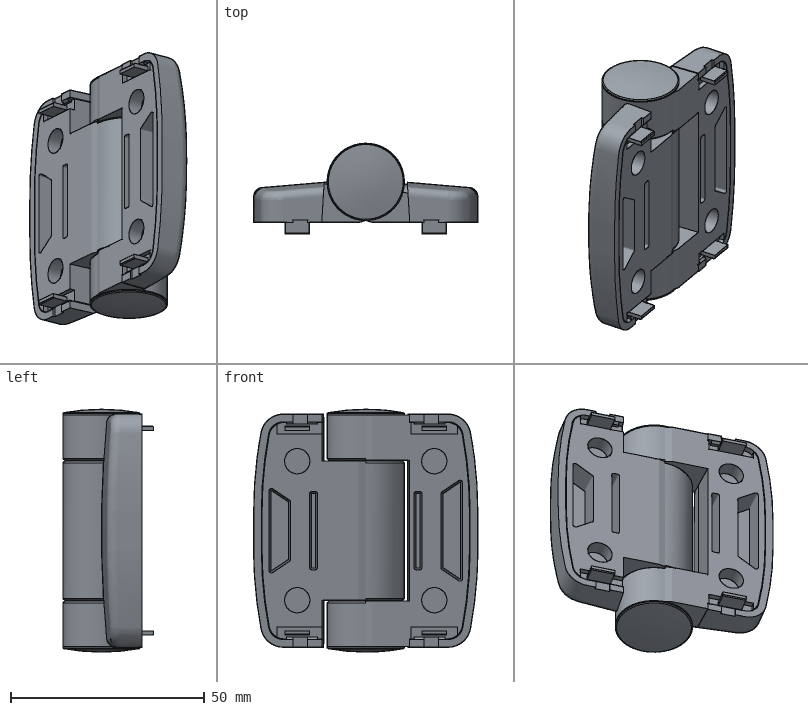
import cadquery as cq
import math


half_length = 31.4
half_width = 28.995
knuckle_radius = 10.0
mount_y = -10.5

cover_half_height = 30.15
corner_radius = 6.0
corner_center_x = 21.25
side_flat_half = 4.95
crown_y = 0.9
crown_tilt = 4.9
crown_radius = 301.6
rim_fillet = 2.45
wall = 2.0
cavity_depth = 7.0
seat_gap = 0.2

inner_x_mount = 11.4
inner_x_crown = 10.75

knuckle_end = 30.0
middle_half = 18.05
knuckle_gap = 0.1
knuckle_chamfer = 0.5
toe_x = 1.75
cap_rim_top = 30.3
cap_edge_top = 30.55
cap_crest_radius = 9.7

hole_radius = 3.25
hole_depth = 4.0
hole_x = 17.7
hole_z = 18.0
slot_depth = 6.05
slot_draft = 5.0
slot_inner_x = 12.5
slot_width = 2.0
slot_half_length = 10.1
slot_corner = 0.55
window_inner_x = 19.5
window_outer_x = 25.0
window_slant = 34.0
window_corner = 0.6
short_window_half = 7.7
long_window_half = 9.85

pocket_depth = 1.4
pocket_inner_z = 24.95
pocket_start_middle_leaf = 10.7
pocket_stop_middle_leaf = 23.0
pocket_start_end_leaf = 11.7
pocket_stop_end_leaf = 23.75
tab_inner_x = 14.6
tab_outer_x = 20.85
tab_low_z = 25.9
tab_thickness = 1.1
tab_reach = 3.0
tab_chamfer = 0.25
lip_inner_x = 12.5
lip_outer_x = 20.55
lip_reach = 0.6
notch_inner_x = 15.0
notch_outer_x = 18.85
notch_depth = 0.6

rim_inner_z = cover_half_height - wall
end_knuckle_start = middle_half + knuckle_gap
tall = 18.85


def box_between(x0, x1, y0, y1, z0, z1):
    """Box given by its limits along each axis."""
    return cq.Workplane("XY").box(x1 - x0, y1 - y0, z1 - z0, centered=False).translate((x0, y0, z0))


def mount_plane():
    """Sketch plane on the mounting face, facing +Y: local x is X and local y is -Z."""
    return cq.Workplane(cq.Plane(origin=(0, mount_y, 0), xDir=(1, 0, 0), normal=(0, 1, 0)))


def rounded_outline(inset):
    """Cover outline moved inwards by inset, from X = 0 to the bowed outer side."""
    across = half_width - corner_center_x
    along = cover_half_height - corner_radius - side_flat_half
    bow = (across**2 + along**2 - corner_radius**2) / (2 * (across - corner_radius))
    bow_center_x = half_width - bow
    bow_angle = math.atan2(along, corner_center_x - bow_center_x)
    corner_z = cover_half_height - corner_radius
    r_corner = corner_radius - inset
    r_bow = bow - inset
    mid_angle = (bow_angle + math.pi / 2) / 2

    def on_corner(angle):
        return corner_center_x + r_corner * math.cos(angle), corner_z + r_corner * math.sin(angle)

    def on_bow(angle):
        return bow_center_x + r_bow * math.cos(angle), side_flat_half + r_bow * math.sin(angle)

    def below(point):
        return point[0], -point[1]

    top = cover_half_height - inset
    return (
        mount_plane()
        .moveTo(0, top)
        .lineTo(corner_center_x, top)
        .threePointArc(on_corner(mid_angle), on_corner(bow_angle))
        .threePointArc(on_bow(bow_angle / 2), on_bow(0))
        .lineTo(*below(on_bow(0)))
        .threePointArc(below(on_bow(bow_angle / 2)), below(on_corner(bow_angle)))
        .threePointArc(below(on_corner(mid_angle)), (corner_center_x, -top))
        .lineTo(0, -top)
        .close()
    )


def crowned_blank():
    """Full outer form of one hinge half, from the pivot axis to the outer side."""
    edge_z = 1.2 * cover_half_height
    edge_y = crown_y - (crown_radius - math.sqrt(crown_radius**2 - edge_z**2))
    crown = (
        cq.Workplane("YZ", origin=(-tall, 0, 0))
        .moveTo(-2 * tall, -edge_z)
        .lineTo(edge_y, -edge_z)
        .threePointArc((crown_y, 0), (edge_y, edge_z))
        .lineTo(-2 * tall, edge_z)
        .close()
        .extrude(2 * tall + half_width)
        .rotate((0, crown_y, 0), (0, crown_y, 1), -crown_tilt)
    )
    blank = rounded_outline(0).extrude(tall).intersect(crown)
    return blank.faces(">Y").edges("not <X").fillet(rim_fillet)


def inside_of_draft():
    """Everything between the pivot axis and the drafted inner end of the cover."""
    draft = (inner_x_crown - inner_x_mount) / -mount_y
    return (
        cq.Workplane("XY", origin=(0, 0, -half_length))
        .polyline([
            (0, -tall),
            (inner_x_crown - draft * tall, -tall),
            (inner_x_crown + draft * tall, tall),
            (0, tall),
        ])
        .close()
        .extrude(2 * half_length)
    )


def cover_lip(side):
    """Wedge on the rim that reaches over the latch pocket."""
    z_tip = rim_inner_z - lip_reach
    return (
        cq.Workplane("YZ", origin=(lip_inner_x, 0, 0))
        .polyline([
            (mount_y, side * rim_inner_z),
            (mount_y + notch_depth, side * z_tip),
            (mount_y + pocket_depth, side * z_tip),
            (mount_y + pocket_depth, side * rim_inner_z),
        ])
        .close()
        .extrude(lip_outer_x - lip_inner_x)
    )


def make_cover():
    """Crowned shell that wraps the leaf plate, with lips and notches on its rim."""
    cavity = rounded_outline(wall).extrude(cavity_depth)
    cover = crowned_blank().cut(inside_of_draft()).cut(cavity)
    for side in (1, -1):
        cover = cover.union(cover_lip(side))
    notches = box_between(
        notch_inner_x, notch_outer_x, mount_y, mount_y + notch_depth, -half_length, half_length
    )
    return cover.cut(notches)


def knuckle(z0, z1, chamfered):
    """Pivot barrel between two heights; chamfered selects the ends to chamfer."""
    barrel = cq.Workplane("XY", origin=(0, 0, z0)).circle(knuckle_radius).extrude(z1 - z0)
    return barrel.faces(chamfered).edges().chamfer(knuckle_chamfer)


def arm(z0, z1):
    """Root between the leaf plate and its knuckle, with a sloped toe under the axis."""
    toe = (
        cq.Workplane("XY", origin=(0, 0, -half_length))
        .polyline([(0, mount_y), (toe_x, mount_y), (0, -knuckle_radius)])
        .close()
        .extrude(2 * half_length)
    )
    slab = box_between(0, inner_x_mount, -tall, tall, z0, z1)
    return crowned_blank().intersect(inside_of_draft()).intersect(slab).cut(toe)


def leaf_plate():
    """Plate that fills the cover's cavity."""
    plate = rounded_outline(wall + seat_gap).extrude(cavity_depth)
    return plate.cut(inside_of_draft())


def screw_holes():
    """Pair of blind holes in the mounting face."""
    return (
        mount_plane()
        .pushPoints([(hole_x, hole_z), (hole_x, -hole_z)])
        .circle(hole_radius)
        .extrude(hole_depth)
    )


def narrow_slot():
    """Long drafted slot next to the inner end."""
    outline = (
        cq.Sketch()
        .rect(slot_width, 2 * slot_half_length)
        .vertices()
        .fillet(slot_corner)
    )
    center_x = slot_inner_x + slot_width / 2
    return mount_plane().center(center_x, 0).placeSketch(outline).extrude(slot_depth, taper=slot_draft)


def window(inner_half):
    """Trapezoidal recess that grows longer towards the outer side."""
    slant_rise = (window_outer_x - window_inner_x) * math.tan(math.radians(window_slant))
    outer_half = inner_half + slant_rise
    corners = [
        (window_inner_x, -inner_half),
        (window_outer_x, -outer_half),
        (window_outer_x, outer_half),
        (window_inner_x, inner_half),
        (window_inner_x, -inner_half),
    ]
    outline = cq.Sketch().polygon(corners).vertices().fillet(window_corner)
    return mount_plane().placeSketch(outline).extrude(slot_depth, taper=slot_draft)


def latch_pocket(start_x, stop_x):
    """Shallow recess at the upper end of the plate, open towards the rim."""
    return box_between(start_x, stop_x, mount_y, mount_y + pocket_depth, pocket_inner_z, rim_inner_z)


def latch_tab():
    """Tongue that rises from the upper pocket and passes the mounting plane."""
    tab = box_between(
        tab_inner_x, tab_outer_x,
        mount_y - tab_reach, mount_y + pocket_depth,
        tab_low_z, tab_low_z + tab_thickness,
    )
    return tab.faces("<Y").edges(">Z").chamfer(tab_chamfer)


def make_leaf(window_half, pocket_start, pocket_stop, knuckles_and_arms):
    """Plate with its recesses, tabs and knuckles as one solid."""
    leaf = leaf_plate()
    for piece in knuckles_and_arms:
        leaf = leaf.union(piece)
    leaf = leaf.cut(screw_holes()).cut(narrow_slot()).cut(window(window_half))
    pocket = latch_pocket(pocket_start, pocket_stop)
    leaf = leaf.cut(pocket).cut(pocket.mirror("XY"))
    tab = latch_tab()
    return leaf.union(tab).union(tab.mirror("XY"))


def make_middle_leaf():
    """Leaf on the -X side, which carries the middle knuckle."""
    pieces = [
        arm(-middle_half, middle_half),
        knuckle(-middle_half, middle_half, "|Z"),
    ]
    leaf = make_leaf(short_window_half, pocket_start_middle_leaf, pocket_stop_middle_leaf, pieces)
    return leaf.mirror("YZ")


def make_end_leaf():
    """Leaf on the +X side, which carries the two end knuckles."""
    pieces = [
        arm(end_knuckle_start, knuckle_end),
        knuckle(end_knuckle_start, knuckle_end, "<Z"),
        arm(-knuckle_end, -end_knuckle_start),
        knuckle(-knuckle_end, -end_knuckle_start, ">Z"),
    ]
    return make_leaf(long_window_half, pocket_start_end_leaf, pocket_stop_end_leaf, pieces)


def make_cap():
    """Domed disc on the upper end of the barrel."""
    dome_height = half_length - cap_edge_top
    dome_radius = (cap_crest_radius**2 + dome_height**2) / (2 * dome_height)
    mid_x = cap_crest_radius / 2
    mid_z = half_length - dome_radius + math.sqrt(dome_radius**2 - mid_x**2)
    return (
        cq.Workplane("XZ")
        .moveTo(0, knuckle_end)
        .lineTo(knuckle_radius, knuckle_end)
        .lineTo(knuckle_radius, cap_rim_top)
        .lineTo(cap_crest_radius, cap_edge_top)
        .threePointArc((mid_x, mid_z), (0, half_length))
        .close()
        .revolve(360, (0, 0), (0, 1))
    )


end_leaf = make_end_leaf()
middle_leaf = make_middle_leaf()
right_cover = make_cover()
left_cover = right_cover.mirror("YZ")
upper_cap = make_cap()
lower_cap = upper_cap.mirror("XY")

result = cq.Compound.makeCompound([
    end_leaf.val(),
    middle_leaf.val(),
    right_cover.val(),
    left_cover.val(),
    upper_cap.val(),
    lower_cap.val(),
])